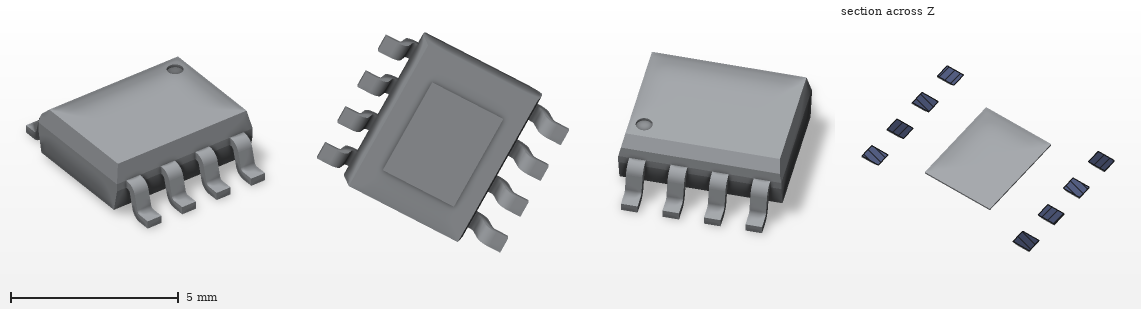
import cadquery as cq
import math


overall_length = 6.2
overall_height = 1.75

housing_length = 4.005
housing_width = 5.0
housing_standoff = 0.11
upper_height = 0.62
upper_inset = 0.13
lower_inset = 0.155
bevel_top_inset = 0.38
dot_diameter = 0.51
dot_depth = 0.1
dot_x = -1.13

leads_per_side = 4
lead_pitch = 1.27
lead_width = 0.51
lead_thickness = 0.26
lead_inner_radius = 0.125
lead_shoulder = 0.07
lead_bend_angle = 75.0

pad_length = 2.405
pad_width = 3.1
pad_thickness = 0.06

half_length = housing_length / 2
half_width = housing_width / 2
parting_z = overall_height - upper_height
belt_bottom_z = parting_z - lead_thickness
first_lead_y = -lead_pitch * (leads_per_side - 1) / 2
lead_rows = [first_lead_y + i * lead_pitch for i in range(leads_per_side)]


def extrude_along_y(profile, width):
    """Extrude an XZ profile by the given width, centred on Y = 0."""
    return profile.extrude(width / 2, both=True)


def make_housing():
    bevel_depth = bevel_top_inset / (1 + upper_inset / upper_height)
    bevel_side_inset = bevel_top_inset - bevel_depth

    lengthwise = extrude_along_y(
        cq.Workplane("XZ").polyline([
            (-half_length + lower_inset, housing_standoff),
            (half_length - lower_inset, housing_standoff),
            (half_length, belt_bottom_z),
            (half_length, parting_z),
            (half_length - upper_inset, overall_height),
            (-half_length + bevel_top_inset, overall_height),
            (-half_length + bevel_side_inset, overall_height - bevel_depth),
            (-half_length, parting_z),
            (-half_length, belt_bottom_z),
        ]).close(),
        housing_width,
    )

    crosswise = (
        cq.Workplane("YZ")
        .polyline([
            (-half_width, housing_standoff),
            (half_width, housing_standoff),
            (half_width, parting_z),
            (half_width - upper_inset, overall_height),
            (-half_width + upper_inset, overall_height),
            (-half_width, parting_z),
        ])
        .close()
        .extrude(half_length, both=True)
    )

    dot = (
        cq.Workplane("XY", origin=(dot_x, lead_rows[-1], overall_height - dot_depth))
        .circle(dot_diameter / 2)
        .extrude(dot_depth)
    )
    return lengthwise.intersect(crosswise).cut(dot)


def make_lead(side, y):
    """One gull-wing lead butting the housing belt; side is -1 or +1 along X."""
    inner = lead_inner_radius
    outer = inner + lead_thickness
    bend = math.radians(lead_bend_angle)

    upper_x = half_length + lead_shoulder
    upper_z = parting_z - outer
    lower_z = outer
    leg_drop = (upper_z - lower_z) + (outer + inner) * math.cos(bend)
    leg_run = leg_drop / math.tan(bend)
    lower_x = upper_x + (outer + inner) * math.sin(bend) + leg_run
    tip_x = overall_length / 2

    def on_upper(radius, angle):
        """Point on the upper bend, angle measured from its top."""
        return (side * (upper_x + radius * math.sin(angle)), upper_z + radius * math.cos(angle))

    def on_lower(radius, angle):
        """Point on the lower bend, angle measured from its bottom."""
        return (side * (lower_x - radius * math.sin(angle)), lower_z - radius * math.cos(angle))

    profile = (
        cq.Workplane("XZ", origin=(0, y, 0))
        .moveTo(side * half_length, parting_z)
        .lineTo(*on_upper(outer, 0))
        .threePointArc(on_upper(outer, bend / 2), on_upper(outer, bend))
        .lineTo(*on_lower(inner, bend))
        .threePointArc(on_lower(inner, bend / 2), on_lower(inner, 0))
        .lineTo(side * tip_x, lead_thickness)
        .lineTo(side * tip_x, 0)
        .lineTo(*on_lower(outer, 0))
        .threePointArc(on_lower(outer, bend / 2), on_lower(outer, bend))
        .lineTo(*on_upper(inner, bend))
        .threePointArc(on_upper(inner, bend / 2), on_upper(inner, 0))
        .lineTo(side * half_length, belt_bottom_z)
        .close()
    )
    return extrude_along_y(profile, lead_width)


def make_thermal_pad():
    return cq.Workplane("XY").rect(pad_length, pad_width).extrude(pad_thickness)


housing = make_housing()
thermal_pad = make_thermal_pad()
leads = [make_lead(side, y) for side in (-1, 1) for y in lead_rows]

result = cq.Compound.makeCompound([
    housing.val(),
    thermal_pad.val(),
    *[lead.val() for lead in leads],
])